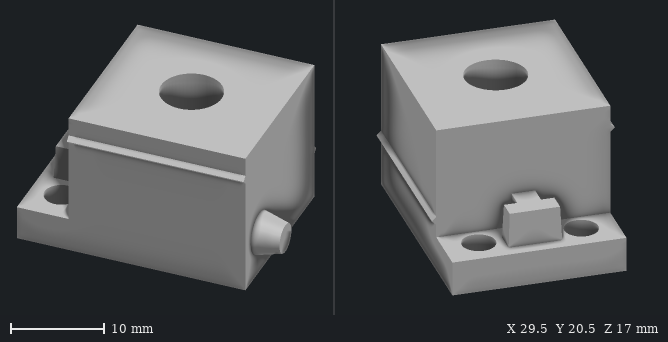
import cadquery as cq
import math

flange_length = 6.0
flange_height = 4.0
block_length = 20.5
body_width = 19.5
body_height = 17.0
body_length = flange_length + block_length

bore_diameter = 7.0
bore_x = flange_length + block_length / 2
mount_hole_diameter = 3.8
mount_hole_x = 3.5
mount_hole_spacing = 11.5

key_start_x = 1.5
key_bar_length = 2.5
key_bar_width = 6.0
key_stem_width = 3.0
key_height = 4.0
key_draft = 2.5
key_embed = 1.0

ridge_depth = 0.5
ridge_half_height = 0.5
front_ridge_z = 14.3
back_ridge_z = 6.0

peg_length = 3.0
peg_root_diameter = 5.0
peg_draft = 15.0
peg_y = -mount_hole_spacing / 2
peg_z = 5.0


def make_body():
    """L-shaped body, with X = 0 at the flange end and Y = 0 on the middle plane."""
    flange = cq.Workplane("XY").box(
        flange_length, body_width, flange_height, centered=(False, True, False)
    )
    block = (
        cq.Workplane("XY")
        .box(block_length, body_width, body_height, centered=(False, True, False))
        .translate((flange_length, 0, 0))
    )
    return flange.union(block)


def make_drafted_block(start_x, end_x, width):
    """Rectangular block on the flange, narrowing upwards on all four sides."""
    return (
        cq.Workplane("XY", origin=((start_x + end_x) / 2, 0, flange_height))
        .rect(end_x - start_x, width)
        .extrude(key_height, taper=key_draft)
    )


def make_key():
    """T-shaped key; its stem reaches from inside the bar to inside the block."""
    bar_end_x = key_start_x + key_bar_length
    stem_end_x = flange_length + key_embed
    bar = make_drafted_block(key_start_x, bar_end_x, key_bar_width)
    stem = make_drafted_block(bar_end_x - key_embed, stem_end_x, key_stem_width)
    return bar.union(stem)


def make_ridge(side, ridge_z):
    """V-shaped ridge on the -Y (side = -1) or +Y (side = 1) face of the block."""
    face_y = side * body_width / 2
    return (
        cq.Workplane("YZ", origin=(flange_length, 0, 0))
        .moveTo(face_y, ridge_z - ridge_half_height)
        .lineTo(face_y + side * ridge_depth, ridge_z)
        .lineTo(face_y, ridge_z + ridge_half_height)
        .close()
        .extrude(block_length)
    )


def make_peg():
    """Conical peg, narrowing away from the block."""
    root_radius = peg_root_diameter / 2
    tip_radius = root_radius - peg_length * math.tan(math.radians(peg_draft))
    cone = cq.Solid.makeCone(
        root_radius,
        tip_radius,
        peg_length,
        pnt=cq.Vector(body_length, peg_y, peg_z),
        dir=cq.Vector(1, 0, 0),
    )
    return cq.Workplane(obj=cone)


def make_vertical_hole(x, y, diameter):
    """Cutter that passes through the full height of the body."""
    return cq.Workplane("XY").center(x, y).circle(diameter / 2).extrude(body_height)


result = make_body().union(make_key()).union(make_peg())
for side, ridge_z in ((-1, front_ridge_z), (1, back_ridge_z)):
    result = result.union(make_ridge(side, ridge_z))

result = result.cut(make_vertical_hole(bore_x, 0, bore_diameter))
for side in (-1, 1):
    hole_y = side * mount_hole_spacing / 2
    result = result.cut(make_vertical_hole(mount_hole_x, hole_y, mount_hole_diameter))